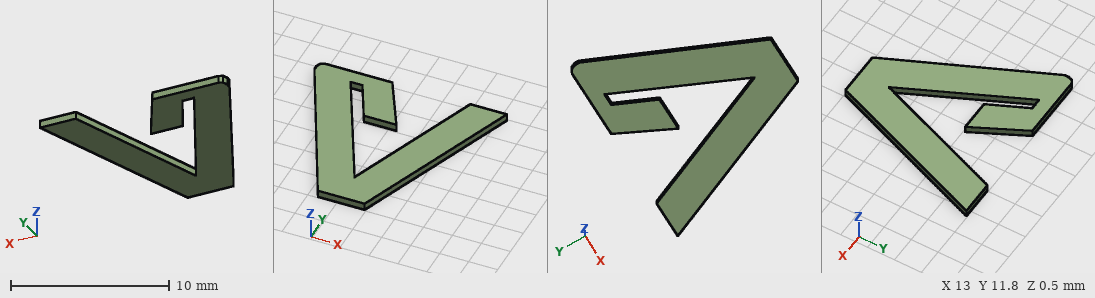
import cadquery as cq

width = 12.97
height = 11.84
thickness = 0.5

base_left = 5.15
base_right = 8.38
notch_x = 6.72
notch_y = 2.2

right_arm_top_width = 2.53

flap_top_right = 5.06
flap_tip_left = 4.76
flap_tip_right = 7.02
flap_drop = 3.79

slot_left = 2.63
slot_right = 3.45
slot_roof_thickness = 1.02

corner_facets = [(0.01, 0.77), (0.0, 0.47), (0.13, 0.12), (0.39, 0.0)]

flap_tip_y = height - flap_drop
slot_roof_y = height - slot_roof_thickness

corner = [(inset, height - drop) for inset, drop in corner_facets]
flap = [
    (flap_top_right, height),
    (flap_tip_right, flap_tip_y),
    (flap_tip_left, flap_tip_y),
]
slot = [(slot_right, slot_roof_y), (slot_left, slot_roof_y)]
right_arm = [
    (notch_x, notch_y),
    (width - right_arm_top_width, height),
    (width, height),
]
base = [(base_right, 0), (base_left, 0)]

outline = corner + flap + slot + right_arm + base
result = cq.Workplane("XY").polyline(outline).close().extrude(thickness)